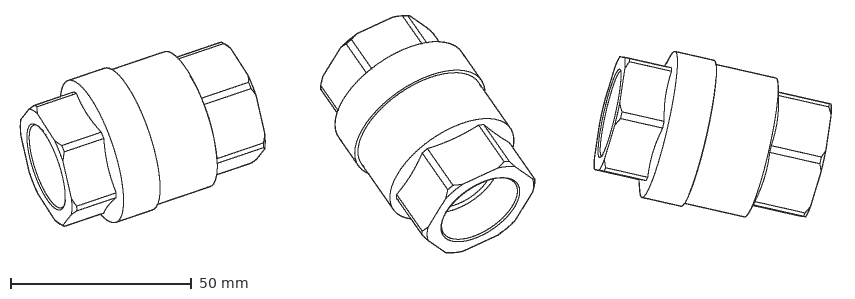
import cadquery as cq
import math

length = 59.0
collar_diameter = 41.5
barrel_diameter = 39.5

across_flats = 32.0
corner_diameter = 35.9
end_chamfer = 1.0

collar_start = 14.0
collar_end = 25.15
barrel_end = 43.05

collar_shoulder = 1.6
barrel_shoulder = 1.25

through_diameter = 20.0
socket_diameter = 24.15
socket_depth = 11.0
socket_chamfer = 0.5

front = -length / 2
back = length / 2
flat_radius = across_flats / 2


def revolve_about_axis(points):
    """Revolve a closed (radius, Y) outline about the Y axis."""
    return cq.Workplane("XY").polyline(points).close().revolve(360, (0, 0, 0), (0, 1, 0))


def make_hexagon_bar():
    """Full-length hexagon with flats facing +Z and -Z and turned, chamfered corners."""
    hexagon_diameter = across_flats / math.cos(math.pi / 6)
    hexagon = (
        cq.Workplane("XZ")
        .polygon(6, hexagon_diameter)
        .extrude(length / 2, both=True)
    )
    envelope = (
        cq.Workplane("XZ")
        .circle(corner_diameter / 2)
        .extrude(length / 2, both=True)
        .edges()
        .chamfer(end_chamfer)
    )
    return hexagon.intersect(envelope)


def make_round_middle():
    """Barrel and collar, each closed by a conical shoulder that meets the hexagon."""
    collar_radius = collar_diameter / 2
    barrel_radius = barrel_diameter / 2
    return revolve_about_axis([
        (0, front + collar_start - collar_shoulder),
        (flat_radius, front + collar_start - collar_shoulder),
        (collar_radius, front + collar_start),
        (collar_radius, front + collar_end),
        (barrel_radius, front + collar_end),
        (barrel_radius, front + barrel_end),
        (flat_radius, front + barrel_end + barrel_shoulder),
        (0, front + barrel_end + barrel_shoulder),
    ])


def make_bore():
    """Through bore with a wider, chamfered socket at each end."""
    socket_radius = socket_diameter / 2
    through_radius = through_diameter / 2
    mouth_radius = socket_radius + socket_chamfer
    return revolve_about_axis([
        (0, front),
        (mouth_radius, front),
        (socket_radius, front + socket_chamfer),
        (socket_radius, front + socket_depth),
        (through_radius, front + socket_depth),
        (through_radius, back - socket_depth),
        (socket_radius, back - socket_depth),
        (socket_radius, back - socket_chamfer),
        (mouth_radius, back),
        (0, back),
    ])


result = make_hexagon_bar().union(make_round_middle()).cut(make_bore())